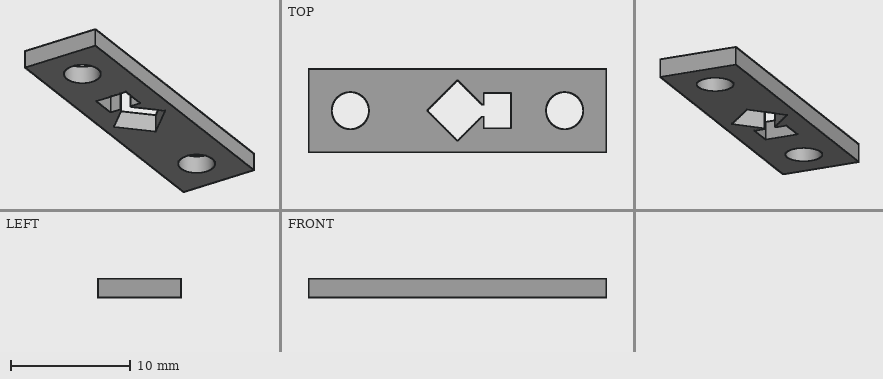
import cadquery as cq

length = 25.0
width = 7.0
thickness = 1.6

hole_diameter = 3.1
hole_spacing = 18.0

diamond_side = 3.6
neck_width = 1.0
pocket_start = 2.22
pocket_end = 4.48
pocket_width = 2.95


def through_box(x_start, x_end, y_size):
    """Block as tall as the plate, centred on the X axis."""
    x_middle = (x_start + x_end) / 2
    return cq.Workplane("XY").center(x_middle, 0).box(x_end - x_start, y_size, thickness)


plate = cq.Workplane("XY").box(length, width, thickness)

holes = (
    cq.Workplane("XY")
    .rarray(hole_spacing, 0.25, 2, 1)
    .circle(hole_diameter / 2)
    .extrude(thickness / 2, both=True)
)

diamond = (
    cq.Workplane("XY")
    .box(diamond_side, diamond_side, thickness)
    .rotate((0, 0, 0), (0, 0, 1), 45)
)
neck = through_box(0, pocket_start, neck_width)
pocket = through_box(pocket_start, pocket_end, pocket_width)

result = plate.cut(holes).cut(diamond).cut(neck).cut(pocket)